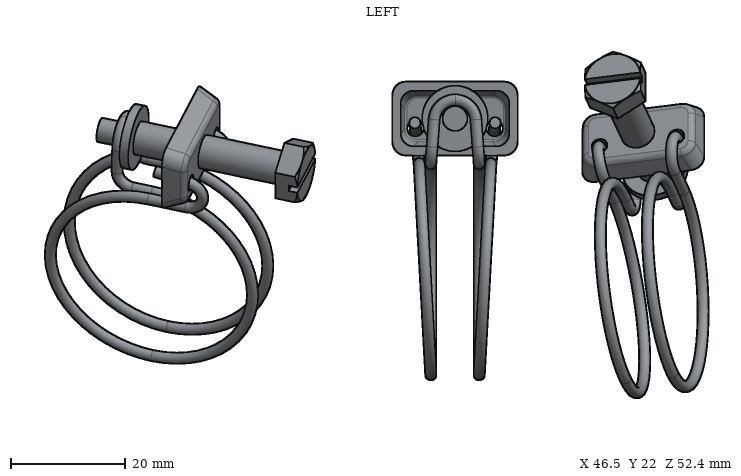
import cadquery as cq
import math


WIRE_DIAMETER = 2.0
RING_RADIUS = 18.5
INNER_RING_Y = 4.25
OUTER_RING_Y = 6.3
SADDLE_RADIUS = 3.65
SADDLE_CENTER_Z = 25.95
LEG_BEND_RADIUS = 3.0
TAIL_STRAIGHT = 6.9
TAIL_BEND_RADIUS = 3.15
TAIL_BEND_ANGLE = 171
TAIL_LEAN_ANGLE = 6
TAIL_END_X = 1.4

BOLT_Z = 26.4
TIP_DIAMETER = 4.35
TIP_START_X = -11.05
FLANGE_DIAMETER = 11.5
FLANGE_START_X = -5.6
FLANGE_THICKNESS = 1.6
SHANK_DIAMETER = 6.0
HEAD_START_X = 22.95
HEAD_END_X = 27.0
HEAD_ACROSS_FLATS = 10.0
HEAD_CHAMFER_ANGLE = 30
SLOT_WIDTH = 1.2
SLOT_DEPTH = 1.6

PLATE_START_X = 4.0
PLATE_THICKNESS = 4.05
PLATE_WIDTH = 22.0
PLATE_HEIGHT = 13.0
PLATE_CORNER_RADIUS = 2.4
SIDE_DRAFT = 15
TOP_DRAFT = 20
PLATE_EDGE_FILLET = 1.25
POCKET_WIDTH = 19.0
POCKET_HEIGHT = 9.8
POCKET_CORNER_RADIUS = 2.3
POCKET_FILLET = 0.4
FLOOR_THICKNESS = 1.35
COLLAR_DIAMETER = 7.0
COLLAR_HEIGHT = 0.85
TAIL_HOLE_DIAMETER = 2.85

HEAD_LENGTH = HEAD_END_X - HEAD_START_X
PLATE_END_X = PLATE_START_X + PLATE_THICKNESS
FLOOR_X = PLATE_END_X - FLOOR_THICKNESS
SADDLE_X = FLANGE_START_X - WIRE_DIAMETER / 2

ALONG_X = cq.Vector(1, 0, 0)
TAIL_LEAN = math.radians(TAIL_LEAN_ANGLE)
TAIL_RISE = cq.Vector(0, math.sin(TAIL_LEAN), math.cos(TAIL_LEAN))
TAIL_BEND_START = cq.Vector(TAIL_STRAIGHT, OUTER_RING_Y, RING_RADIUS)
TAIL_BEND_CENTER = TAIL_BEND_START + TAIL_RISE * TAIL_BEND_RADIUS


def tail_bend_point(degrees):
    """Point on the tail bend after turning by the given angle."""
    turn = math.radians(degrees)
    return TAIL_BEND_CENTER + (ALONG_X * math.sin(turn) - TAIL_RISE * math.cos(turn)) * TAIL_BEND_RADIUS


def saddle_leg_angle():
    """Angle by which the leg, tangent to the saddle arc, leans outward."""
    drop = SADDLE_CENTER_Z - RING_RADIUS
    reach = math.hypot(INNER_RING_Y, drop)
    return math.acos(SADDLE_RADIUS / reach) - math.atan2(drop, INNER_RING_Y)


def half_wire_path():
    """Centre line from the top of the saddle to the tail end on the +Y side."""
    leg_angle = saddle_leg_angle()

    def saddle_point(angle):
        return cq.Vector(
            SADDLE_X,
            SADDLE_RADIUS * math.cos(angle),
            SADDLE_CENTER_Z + SADDLE_RADIUS * math.sin(angle),
        )

    saddle_top = saddle_point(math.pi / 2)
    saddle_end = saddle_point(leg_angle)
    saddle_middle = saddle_point((math.pi / 2 + leg_angle) / 2)
    leg_direction = cq.Vector(0, math.sin(leg_angle), -math.cos(leg_angle))

    leg_corner = cq.Vector(SADDLE_X, INNER_RING_Y, RING_RADIUS)
    leg_bend_start = leg_corner - leg_direction * LEG_BEND_RADIUS
    leg_bend_end = leg_corner + ALONG_X * LEG_BEND_RADIUS
    leg_bend_center = leg_bend_start + ALONG_X * LEG_BEND_RADIUS
    leg_bend_middle = leg_bend_center + (leg_direction - ALONG_X) * (LEG_BEND_RADIUS / math.sqrt(2))

    ring_start = cq.Vector(0, INNER_RING_Y, RING_RADIUS)
    ring_right = cq.Vector(RING_RADIUS, INNER_RING_Y, 0)
    ring_bottom = cq.Vector(0, INNER_RING_Y, -RING_RADIUS)
    ring_end = cq.Vector(0, OUTER_RING_Y, RING_RADIUS)
    leaning_radius = (ring_end - ring_bottom).Length / 2
    ring_left = (ring_bottom + ring_end) / 2 - ALONG_X * leaning_radius

    tail_bend_middle = tail_bend_point(TAIL_BEND_ANGLE / 2)
    tail_start = tail_bend_point(TAIL_BEND_ANGLE)
    turn = math.radians(TAIL_BEND_ANGLE)
    tail_direction = ALONG_X * math.cos(turn) + TAIL_RISE * math.sin(turn)
    tail_end = tail_start + tail_direction * ((TAIL_END_X - tail_start.x) / tail_direction.x)

    line = cq.Edge.makeLine
    arc = cq.Edge.makeThreePointArc
    return cq.Wire.assembleEdges([
        arc(saddle_top, saddle_middle, saddle_end),
        line(saddle_end, leg_bend_start),
        arc(leg_bend_start, leg_bend_middle, leg_bend_end),
        line(leg_bend_end, ring_start),
        arc(ring_start, ring_right, ring_bottom),
        arc(ring_bottom, ring_left, ring_end),
        line(ring_end, TAIL_BEND_START),
        arc(TAIL_BEND_START, tail_bend_middle, tail_start),
        line(tail_start, tail_end),
    ])


def make_wire():
    section = cq.Workplane("XZ", origin=(SADDLE_X, 0, SADDLE_CENTER_Z + SADDLE_RADIUS))
    half = section.circle(WIRE_DIAMETER / 2).sweep(cq.Workplane(half_wire_path()))
    return half.union(half.mirror("XZ")).solids()


def axis_plane(x):
    """Workplane across the bolt axis at x: local X is +Y, local Y is +Z."""
    return cq.Workplane("YZ", origin=(x, 0, BOLT_Z))


def rod(diameter, start_x, end_x):
    return axis_plane(start_x).circle(diameter / 2).extrude(end_x - start_x)


def bolt_head():
    corner_radius = HEAD_ACROSS_FLATS / math.sqrt(3)
    hexagon = (
        axis_plane(HEAD_START_X)
        .polygon(6, 2 * corner_radius)
        .extrude(HEAD_LENGTH)
        .rotate((0, 0, BOLT_Z), (1, 0, BOLT_Z), 90)
    )
    face_radius = HEAD_ACROSS_FLATS / 2
    cone_base_radius = face_radius + HEAD_LENGTH / math.tan(math.radians(HEAD_CHAMFER_ANGLE))
    cone = (
        cq.Workplane("XY", origin=(HEAD_END_X, 0, BOLT_Z))
        .polyline([(0, 0), (0, face_radius), (-HEAD_LENGTH, cone_base_radius), (-HEAD_LENGTH, 0)])
        .close()
        .revolve(360, (0, 0, 0), (1, 0, 0))
    )
    slot = (
        cq.Workplane("XY", origin=(HEAD_END_X - SLOT_DEPTH / 2, 0, BOLT_Z))
        .box(SLOT_DEPTH, 2 * HEAD_ACROSS_FLATS, SLOT_WIDTH)
    )
    return hexagon.intersect(cone).cut(slot)


def make_bolt():
    tip = rod(TIP_DIAMETER, TIP_START_X, FLANGE_START_X)
    flange_end_x = FLANGE_START_X + FLANGE_THICKNESS
    flange = rod(FLANGE_DIAMETER, FLANGE_START_X, flange_end_x)
    shank = rod(SHANK_DIAMETER, flange_end_x, HEAD_START_X)
    return tip.union(flange).union(shank).union(bolt_head()).solids()


def drafted_block(width, height, corner_radius, depth):
    """Round-cornered block from the plate's open face that narrows toward +X."""
    end_width = width - 2 * depth * math.tan(math.radians(SIDE_DRAFT))
    end_height = height - 2 * depth * math.tan(math.radians(TOP_DRAFT))
    start = cq.Sketch().rect(width, height).vertices().fillet(corner_radius)
    end = cq.Sketch().rect(end_width, end_height).vertices().fillet(corner_radius)
    end = end.moved(cq.Location(cq.Vector(0, 0, depth)))
    return axis_plane(PLATE_START_X).placeSketch(start, end).loft()


def make_plate():
    outer = drafted_block(PLATE_WIDTH, PLATE_HEIGHT, PLATE_CORNER_RADIUS, PLATE_THICKNESS)
    outer = outer.faces(">X").edges().fillet(PLATE_EDGE_FILLET)
    pocket_depth = FLOOR_X - PLATE_START_X
    pocket = drafted_block(POCKET_WIDTH, POCKET_HEIGHT, POCKET_CORNER_RADIUS, pocket_depth)
    pocket = pocket.faces(">X").edges().fillet(POCKET_FILLET)
    collar = rod(COLLAR_DIAMETER, FLOOR_X - COLLAR_HEIGHT, FLOOR_X)
    plate = outer.cut(pocket).union(collar)
    plate = plate.cut(rod(SHANK_DIAMETER, PLATE_START_X, PLATE_END_X))

    tail = tail_bend_point(TAIL_BEND_ANGLE)
    tail_holes = (
        cq.Workplane("YZ", origin=(PLATE_START_X, 0, tail.z))
        .pushPoints([(-tail.y, 0), (tail.y, 0)])
        .circle(TAIL_HOLE_DIAMETER / 2)
        .extrude(PLATE_THICKNESS)
    )
    return plate.cut(tail_holes).solids()


wire = make_wire()
bolt = make_bolt()
plate = make_plate()

result = cq.Compound.makeCompound([wire.val(), bolt.val(), plate.val()])